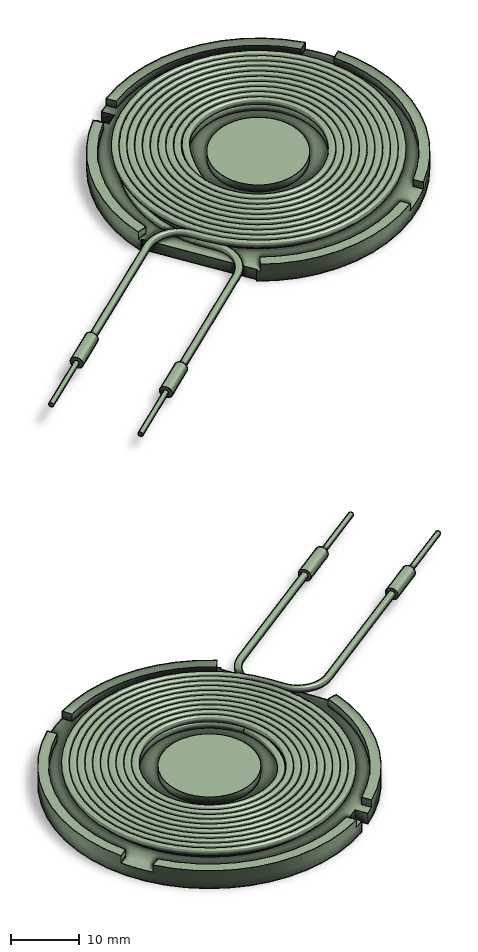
import cadquery as cq
import math

base_radius = 25.0
floor_z = 1.95
rim_top_z = 3.3
rim_inner_radius = 23.4
rim_gap_width = 5.1
front_gap_half_angle = 22.5
flat_distance = 23.0
flat_width = 18.1
slot_width = 2.0
boss_diameter = 15.0

coil_outer_radius = 21.5
coil_inner_radius = 10.2
turn_count = 10
turn_gap = 0.0195
layer_spacing = 1.15
crossing_bow_ratio = 0.55
crossing_start_angle = 10
crossing_point_count = 19
turn_pitch = (coil_outer_radius - coil_inner_radius) / turn_count
wire_diameter = turn_pitch - turn_gap
wire_radius = wire_diameter / 2
lower_z = floor_z + wire_radius
upper_z = lower_z + layer_spacing

lead_bend_radius = 5.0
lead_offset = 7.0
ferrule_diameter = 2.0
ferrule_length = 5.9
core_diameter = 0.8
core_length = 10.0
overall_length = 88.65
core_tip_y = base_radius - overall_length
ferrule_front_y = core_tip_y + core_length
ferrule_back_y = ferrule_front_y + ferrule_length


def polar(radius, angle):
    """Point in the XY plane at an angle in degrees."""
    return (radius * math.cos(math.radians(angle)), radius * math.sin(math.radians(angle)))


def make_recess():
    """Space above the floor inside the rim and in the rim's four gaps."""
    span = 2 * base_radius
    floor_plane = cq.Workplane("XY", origin=(0, 0, floor_z))
    inside = floor_plane.circle(rim_inner_radius).extrude(span)
    side_gaps = floor_plane.rect(2 * span, rim_gap_width).extrude(span)
    back_gap = floor_plane.center(0, base_radius).rect(rim_gap_width, span).extrude(span)
    front_gap = (
        floor_plane
        .polyline([
            (0, 0),
            polar(span, 270 - front_gap_half_angle),
            polar(span, 270 + front_gap_half_angle),
        ])
        .close()
        .extrude(span)
    )
    return inside.union(side_gaps).union(back_gap).union(front_gap)


def make_base():
    cutter_centre = 1.5 * flat_distance
    disc = cq.Workplane("XY").circle(base_radius).extrude(rim_top_z)
    front_cut = (
        cq.Workplane("XY")
        .center(0, -cutter_centre)
        .rect(flat_width, flat_distance)
        .extrude(rim_top_z)
    )
    edge_slot = (
        cq.Workplane("XY")
        .center(-cutter_centre, 0)
        .rect(flat_distance, slot_width)
        .extrude(rim_top_z)
    )
    boss = cq.Workplane("XY").circle(boss_diameter / 2).extrude(rim_top_z)
    return disc.cut(make_recess()).cut(front_cut).cut(edge_slot).union(boss)


def turn_radius(turn):
    """Centreline radius of a turn, counted from 1 at the inside."""
    return coil_inner_radius + (turn - 0.5) * turn_pitch


def round_turn(turn, z):
    """Three quarters of a circle, counterclockwise from the front to the left."""
    radius = turn_radius(turn)
    middle = polar(radius, 45)
    return cq.Edge.makeThreePointArc(
        cq.Vector(0, -radius, z), cq.Vector(*middle, z), cq.Vector(-radius, 0, z)
    )


def turn_step(left_turn, front_turn, z):
    """Quarter ellipse from one turn at the left to its neighbour at the front."""
    left_radius = turn_radius(left_turn)
    front_radius = turn_radius(front_turn)
    if left_radius > front_radius:
        return cq.Edge.makeEllipse(
            left_radius, front_radius, pnt=(0, 0, z), angle1=180, angle2=270
        )
    return cq.Edge.makeEllipse(
        front_radius, left_radius, pnt=(0, 0, z), xdir=(0, -1, 0), angle1=270, angle2=360
    )


def layer_crossing():
    """Innermost quarter turn, dropping to the lower layer and bowed inward to clear its neighbours."""
    points = []
    for index in range(crossing_point_count):
        angle = 90 * index / (crossing_point_count - 1)
        bow = crossing_bow_ratio * turn_pitch * math.sin(math.radians(2 * angle)) ** 2
        progress = (angle - crossing_start_angle) / (90 - 2 * crossing_start_angle)
        progress = min(max(progress, 0), 1)
        drop = layer_spacing * progress**3 * (10 - 15 * progress + 6 * progress**2)
        position = polar(turn_radius(1) - bow, 180 + angle)
        points.append(cq.Vector(*position, upper_z - drop))
    return cq.Edge.makeSpline(points, tangents=[cq.Vector(0, -1, 0), cq.Vector(1, 0, 0)])


def lead_edges(side, z):
    """Lead centreline from the ferrule to the coil; side is -1 for left and 1 for right."""
    start_y = -turn_radius(turn_count)
    bend_x = side * (lead_offset - lead_bend_radius)
    bend_y = start_y - lead_bend_radius
    half_chord = lead_bend_radius * math.sqrt(0.5)
    ferrule_end = cq.Vector(side * lead_offset, ferrule_back_y, z)
    bend_end = cq.Vector(side * lead_offset, bend_y, z)
    bend_middle = cq.Vector(bend_x + side * half_chord, bend_y + half_chord, z)
    bend_start = cq.Vector(bend_x, start_y, z)
    coil_end = cq.Vector(0, start_y, z)
    return [
        cq.Edge.makeLine(ferrule_end, bend_end),
        cq.Edge.makeThreePointArc(bend_end, bend_middle, bend_start),
        cq.Edge.makeLine(bend_start, coil_end),
    ]


def coil_path():
    edges = lead_edges(-1, upper_z)
    for turn in range(turn_count, 1, -1):
        edges.append(round_turn(turn, upper_z))
        edges.append(turn_step(turn, turn - 1, upper_z))
    edges.append(round_turn(1, upper_z))
    edges.append(layer_crossing())
    for turn in range(1, turn_count):
        edges.append(round_turn(turn, lower_z))
        edges.append(turn_step(turn, turn + 1, lower_z))
    edges.extend(reversed(lead_edges(1, lower_z)))
    return cq.Wire.assembleEdges(edges)


def make_lead_end(side, z):
    """Ferrule and the bare core that sticks out of it."""
    ferrule = (
        cq.Workplane("XZ", origin=(side * lead_offset, ferrule_back_y, z))
        .circle(ferrule_diameter / 2)
        .extrude(ferrule_length)
    )
    core = (
        cq.Workplane("XZ", origin=(side * lead_offset, ferrule_front_y, z))
        .circle(core_diameter / 2)
        .extrude(core_length)
    )
    return ferrule.union(core)


def make_coil():
    wire = (
        cq.Workplane("XZ", origin=(-lead_offset, ferrule_back_y, upper_z))
        .circle(wire_radius)
        .sweep(cq.Workplane(coil_path()))
    )
    coil = wire.union(make_lead_end(-1, upper_z)).union(make_lead_end(1, lower_z))
    return coil.solids()


base = make_base()
coil = make_coil()

result = cq.Compound.makeCompound([base.val(), coil.val()])